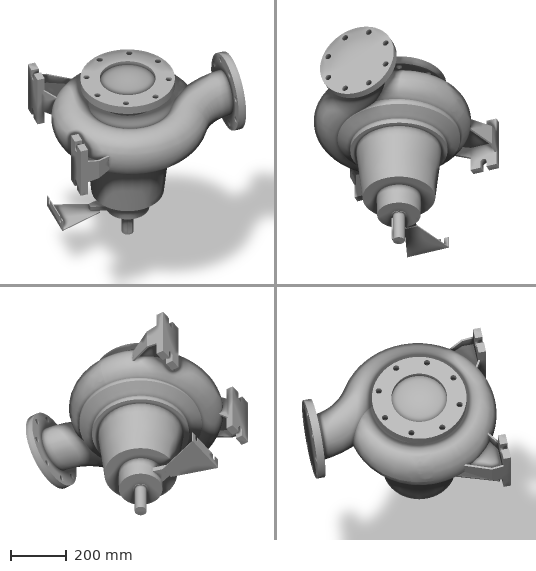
import cadquery as cq
import math


tube_radius = 82.0
volute_radius = 200.0
volute_shift = 25.0
back_spiral_outer_radius = volute_radius - volute_shift + tube_radius
back_spiral_end_radius = 63.5
back_spiral_end_angle = 55
back_spiral_sections = 6
core_radius = 186.0
core_top = 64.0
shoulder_top = 72.5

suction_top = 160.0
suction_flange_radius = 170.0
suction_flange_thickness = 32.0
suction_neck_radius = 107.5
suction_bore_radius = 100.0
suction_bore_depth = 16.5
suction_bolt_circle = 148.0
discharge_face = 400.0
discharge_flange_radius = 143.0
discharge_flange_thickness = 28.0
discharge_bolt_circle = 120.0
bolt_count = 8
bolt_hole_diameter = 22.0

cover_radius = 220.0
cover_inner_z = -47.0
cover_cone_z = -85.0
cover_rim_radius = 174.5
cover_rim_z = -116.0
lantern_top_z = -135.0
lantern_top_radius = 154.0
lantern_bottom_radius = 130.5
lantern_bottom_z = -341.0
housing_top_radius = 81.0
housing_bottom_radius = 78.0
housing_bottom_z = -418.0
collar_radius = 27.5
collar_height = 2.0
shaft_radius = 21.5
shaft_end_z = -530.0
key_reach = 25.0
key_width = 16.5
key_top_z = -429.0
key_bottom_z = -521.5

foot_outer_x = 274.5
foot_width = 100.0
foot_front_y = -280.0
foot_thickness = 27.5
foot_height = 200.0
foot_slot_width = 22.0
foot_slot_depth = 35.0
foot_back_y = foot_front_y + foot_thickness
foot_inner_x = foot_outer_x - foot_width
foot_mid_x = foot_outer_x - foot_width / 2
web_thickness = 7.0
rib_thickness = 7.0
rib_root_height = 102.0
rib_tip_height = 35.0
outer_rib_knee_y = -210.0
outer_rib_tip = (219.0, -96.0)
inner_rib_root_y = -259.5
inner_rib_tip = (110.5, -219.5)

arm_top_z = -376.0
arm_bottom_z = -395.0
arm_tip_y = -145.5
arm_tip_width = 19.0
arm_root_y = -41.5
arm_root_width = 83.0
sheet_thickness = 4.0
sheet_root_y = -114.0
sheet_root_width = 50.0
sheet_front_y = -279.0
sheet_front_width = 161.5
upright_top_z = -354.0
upright_thickness = 3.5
upright_slot_x = 56.5
upright_slot_width = 14.0
upright_slot_depth = 23.5


def disc(radius, z_low, z_high):
    return cq.Workplane("XY").workplane(offset=z_low).circle(radius).extrude(z_high - z_low)


def frustum(low_radius, z_low, high_radius, z_high):
    outline = [(0, z_low), (low_radius, z_low), (high_radius, z_high), (0, z_high)]
    return cq.Workplane("XZ").polyline(outline).close().revolve(360, (0, 0, 0), (0, 1, 0))


def plate(outline, z_low, z_high):
    """Flat plate with the given XY outline."""
    return cq.Workplane("XY").workplane(offset=z_low).polyline(outline).close().extrude(z_high - z_low)


def tapered_outline(root_y, root_width, end_y, end_width):
    """Trapezoid centred on the Y axis."""
    return [
        (-root_width / 2, root_y),
        (-end_width / 2, end_y),
        (end_width / 2, end_y),
        (root_width / 2, root_y),
    ]


def bent_tube(centre, bend_radius, start_angle, sweep_angle):
    """Solid round bar bent about a vertical axis, counterclockwise from start_angle."""
    section = cq.Workplane("XZ").center(bend_radius, 0).circle(tube_radius)
    bend = section.revolve(sweep_angle, (-bend_radius, 0, 0), (-bend_radius, 1, 0))
    return bend.rotate((0, 0, 0), (0, 0, 1), start_angle).translate((centre[0], centre[1], 0))


def make_back_spiral():
    """Solid bar of constant outer radius about Z that thins from the main spiral to the outlet."""
    wires = []
    for index in range(back_spiral_sections):
        progress = index / (back_spiral_sections - 1)
        angle = math.radians(180 + progress * (back_spiral_end_angle - 180))
        section_radius = tube_radius + progress * (back_spiral_end_radius - tube_radius)
        centre_distance = back_spiral_outer_radius - section_radius
        centre = cq.Vector(centre_distance * math.cos(angle), centre_distance * math.sin(angle), 0)
        direction = cq.Vector(math.sin(angle), -math.cos(angle), 0)
        wires.append(cq.Wire.makeCircle(section_radius, centre, direction))
    return cq.Workplane(cq.Solid.makeLoft(wires))


def bolt_holes(bolt_circle, depth):
    """Holes from z = 0 down to -depth, straddling the centre lines."""
    first_angle = 180 / bolt_count
    pattern = cq.Workplane("XY").polarArray(bolt_circle, first_angle, 360, bolt_count)
    return pattern.circle(bolt_hole_diameter / 2).extrude(-depth)


def make_volute():
    bend_span = discharge_face**2 + volute_shift**2 - volute_radius**2
    outlet_radius = bend_span / (2 * (volute_radius + volute_shift))
    outlet_angle = math.degrees(math.asin(discharge_face / (volute_radius + outlet_radius)))
    main_spiral = bent_tube((volute_shift, 0), volute_radius, -180, 180 + outlet_angle)
    outlet = bent_tube((outlet_radius, discharge_face), outlet_radius, 180, outlet_angle)
    core = disc(core_radius, cover_cone_z, core_top)
    return main_spiral.union(outlet).union(make_back_spiral()).union(core)


def make_shoulder():
    """Skewed cone from the suction neck down to the inner edge of the main spiral."""
    edge_radius = volute_radius - math.sqrt(tube_radius**2 - core_top**2)
    neck_circle = cq.Wire.makeCircle(suction_neck_radius, cq.Vector(0, 0, shoulder_top), cq.Vector(0, 0, 1))
    edge_circle = cq.Wire.makeCircle(edge_radius, cq.Vector(volute_shift, 0, core_top), cq.Vector(0, 0, 1))
    return cq.Workplane(cq.Solid.makeLoft([edge_circle, neck_circle], True))


def make_suction_nozzle():
    flange_bottom = suction_top - suction_flange_thickness
    neck = disc(suction_neck_radius, 0, flange_bottom)
    flange = disc(suction_flange_radius, flange_bottom, suction_top)
    holes = bolt_holes(suction_bolt_circle, suction_flange_thickness).translate((0, 0, suction_top))
    bore = disc(suction_bore_radius, suction_top - suction_bore_depth, suction_top)
    return neck.union(flange.cut(holes)).cut(bore)


def make_discharge_flange():
    flange = disc(discharge_flange_radius, -discharge_flange_thickness, 0)
    flange = flange.cut(bolt_holes(discharge_bolt_circle, discharge_flange_thickness))
    return flange.rotate((0, 0, 0), (1, 0, 0), -90).translate((0, discharge_face, 0))


def make_drive_end():
    cover = disc(cover_radius, cover_cone_z, cover_inner_z)
    cover = cover.union(frustum(cover_rim_radius, cover_rim_z, cover_radius, cover_cone_z))
    rim = disc(cover_rim_radius, lantern_top_z, cover_rim_z)
    lantern = frustum(lantern_bottom_radius, lantern_bottom_z, lantern_top_radius, lantern_top_z)
    housing = frustum(housing_bottom_radius, housing_bottom_z, housing_top_radius, lantern_bottom_z)
    collar = disc(collar_radius, housing_bottom_z - collar_height, housing_bottom_z)
    shaft = disc(shaft_radius, shaft_end_z, housing_bottom_z)
    key = cq.Workplane("XY", origin=(0, 0, key_bottom_z))
    key = key.box(key_reach, key_width, key_top_z - key_bottom_z, (False, True, False))
    solids = [rim, lantern, housing, collar, shaft, key]
    for solid in solids:
        cover = cover.union(solid)
    return cover


def make_casing_foot():
    """Foot on the +X side: a slotted plate, a web and two tapered ribs."""
    base = cq.Workplane("XY").box(foot_width, foot_thickness, foot_height)
    base = base.translate((foot_mid_x, (foot_front_y + foot_back_y) / 2, 0))
    slot_top = cq.Workplane("XZ").center(foot_mid_x, foot_height / 2)
    slot = slot_top.slot2D(2 * foot_slot_depth, foot_slot_width, 90).extrude(-2 * foot_front_y)
    base = base.cut(slot).cut(slot.mirror("XY"))

    foot_middle_y = foot_front_y + foot_thickness / 2
    outline = [
        (foot_inner_x, foot_middle_y),
        (foot_outer_x, foot_middle_y),
        (foot_outer_x, outer_rib_knee_y),
        outer_rib_tip,
        inner_rib_tip,
        (foot_inner_x, inner_rib_root_y),
    ]
    bracket = plate(outline, -foot_height / 2, foot_height / 2)
    inner_wall = bracket.faces(">Z").wires().toPending().offset2D(-rib_thickness)
    pocket = inner_wall.extrude(-foot_height, combine=False)
    pocket = pocket.cut(plate(outline, -web_thickness / 2, web_thickness / 2))
    taper = [
        (foot_front_y, -rib_root_height / 2),
        (outer_rib_tip[1], -rib_tip_height / 2),
        (outer_rib_tip[1], rib_tip_height / 2),
        (foot_front_y, rib_root_height / 2),
    ]
    wedge = cq.Workplane("YZ").polyline(taper).close().extrude(2 * foot_outer_x)
    return base.union(bracket.cut(pocket).intersect(wedge))


def make_support_foot():
    """Wedge-shaped arm on the bearing housing carrying a sheet with a slotted upright."""
    arm_outline = tapered_outline(arm_root_y, arm_root_width, arm_tip_y, arm_tip_width)
    arm = plate(arm_outline, arm_bottom_z, arm_top_z)
    sheet_outline = tapered_outline(sheet_root_y, sheet_root_width, sheet_front_y, sheet_front_width)
    sheet_bottom_z = arm_bottom_z - sheet_thickness
    sheet = plate(sheet_outline, sheet_bottom_z, arm_bottom_z)
    upright_height = upright_top_z - sheet_bottom_z
    upright = cq.Workplane("XY", origin=(0, sheet_front_y, sheet_bottom_z))
    upright = upright.box(sheet_front_width, upright_thickness, upright_height, (True, False, False))
    slots = cq.Workplane("XZ", origin=(0, sheet_front_y, upright_top_z))
    slots = slots.pushPoints([(-upright_slot_x, 0), (upright_slot_x, 0)])
    slots = slots.slot2D(2 * upright_slot_depth, upright_slot_width, 90).extrude(-upright_thickness)
    return arm.union(sheet).union(upright.cut(slots))


casing_foot = make_casing_foot()
result = (
    make_volute()
    .union(make_shoulder())
    .union(make_suction_nozzle())
    .union(make_discharge_flange())
    .union(make_drive_end())
    .union(casing_foot)
    .union(casing_foot.mirror("YZ"))
    .union(make_support_foot())
)